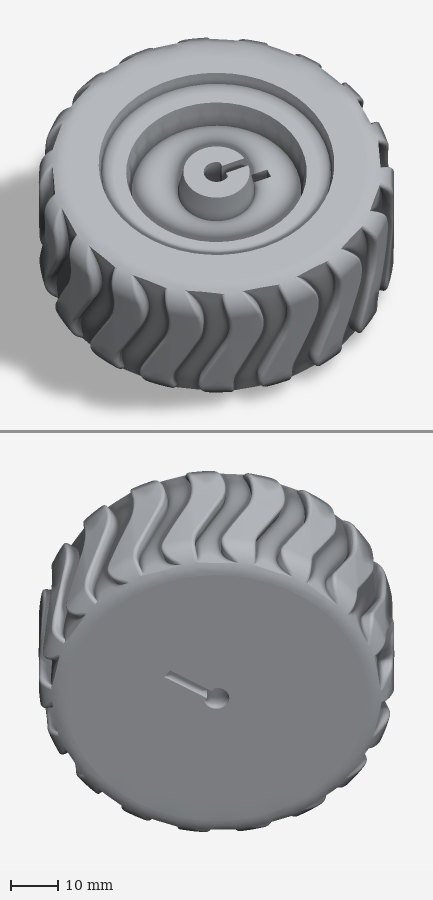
import cadquery as cq
import math

tyre_diameter = 75.6
tyre_width = 34.2
shoulder_radius = 5.7

draft_angle = 10.5
rim_diameter = 50.1
rim_floor_diameter = 48.7
rim_depth = 2.8
dish_diameter = 38.4
dish_floor_depth = 9.15
boss_base_diameter = 16.5
boss_top_depth = 2.7

bore_diameter = 5.45
bore_flat_distance = 1.75
slot_width = 2.1
slot_reach = 12.25

groove_count = 18
groove_floor_distance = 34.8
groove_width = 5.5
upper_centre = (-10.4, 7.6)
upper_inner_radius = 11.5
lower_centre = (4.5, -11.65)
lower_inner_radius = 4.45
lower_inner_arc_end = 240.0
lug_edge_radius = 0.7
cut_clearance = 0.75

tyre_radius = tyre_diameter / 2
half_width = tyre_width / 2
upper_outer_radius = upper_inner_radius + groove_width
lower_outer_radius = lower_inner_radius + groove_width
draft_slope = math.tan(math.radians(draft_angle))


def on_circle(centre, radius, angle):
    """Point of a circle at an angle in radians."""
    return (centre[0] + radius * math.cos(angle), centre[1] + radius * math.sin(angle))


def make_dished_wheel():
    """Revolved wheel body with the stepped dish and the tapered boss."""
    rim_floor = half_width - rim_depth
    dish_floor = half_width - dish_floor_depth
    boss_top = half_width - boss_top_depth
    rim_radius = rim_diameter / 2
    dish_radius = dish_diameter / 2
    boss_radius = boss_base_diameter / 2
    profile = (
        cq.Workplane("XZ")
        .moveTo(0, -half_width)
        .lineTo(tyre_radius - shoulder_radius, -half_width)
        .radiusArc((tyre_radius, -half_width + shoulder_radius), -shoulder_radius)
        .lineTo(tyre_radius, half_width - shoulder_radius)
        .radiusArc((tyre_radius - shoulder_radius, half_width), -shoulder_radius)
        .lineTo(rim_radius, half_width)
        .lineTo(rim_floor_diameter / 2, rim_floor)
        .lineTo(dish_radius, rim_floor)
        .lineTo(dish_radius - (rim_floor - dish_floor) * draft_slope, dish_floor)
        .lineTo(boss_radius, dish_floor)
        .lineTo(boss_radius - (boss_top - dish_floor) * draft_slope, boss_top)
        .lineTo(0, boss_top)
        .close()
    )
    return profile.revolve(360, (0, 0, 0), (0, 1, 0))


def make_axle_cut():
    """D-shaped bore and key slot, both passing through the hub."""
    bore = cq.Workplane("XY").circle(bore_diameter / 2).extrude(half_width, both=True)
    below_flat = (
        cq.Workplane("XY")
        .center(0, bore_flat_distance - bore_diameter / 2)
        .rect(bore_diameter, bore_diameter)
        .extrude(half_width, both=True)
    )
    slot = (
        cq.Workplane("XY")
        .center(0, slot_reach / 2)
        .rect(slot_width, slot_reach)
        .extrude(half_width, both=True)
    )
    return bore.intersect(below_flat).union(slot)


def make_groove_cut():
    """Cutter for the -Y side: two concentric arc pairs joined by their common tangents."""
    across = lower_centre[0] - upper_centre[0]
    rise = lower_centre[1] - upper_centre[1]
    tangent_distance = upper_inner_radius + groove_width + lower_inner_radius
    tangent_angle = math.atan2(rise, across) + math.acos(tangent_distance / math.hypot(across, rise))
    opposite_angle = tangent_angle + math.pi

    end = half_width + cut_clearance
    inner_top_angle = math.asin((end - upper_centre[1]) / upper_inner_radius)
    outer_top_angle = math.asin((end - upper_centre[1]) / upper_outer_radius)
    outer_bottom_angle = math.pi + math.asin((end + lower_centre[1]) / lower_outer_radius)
    inner_bottom_angle = math.radians(lower_inner_arc_end)
    runout_start = on_circle(lower_centre, lower_inner_radius, inner_bottom_angle)
    runout_across = (end + runout_start[1]) * math.tan(inner_bottom_angle)

    profile = (
        cq.Workplane("XZ", origin=(0, -groove_floor_distance, 0))
        .moveTo(*on_circle(upper_centre, upper_inner_radius, inner_top_angle))
        .threePointArc(
            on_circle(upper_centre, upper_inner_radius, (inner_top_angle + tangent_angle) / 2),
            on_circle(upper_centre, upper_inner_radius, tangent_angle),
        )
        .lineTo(*on_circle(lower_centre, lower_outer_radius, opposite_angle))
        .threePointArc(
            on_circle(lower_centre, lower_outer_radius, (opposite_angle + outer_bottom_angle) / 2),
            on_circle(lower_centre, lower_outer_radius, outer_bottom_angle),
        )
        .lineTo(runout_start[0] + runout_across, -end)
        .lineTo(*runout_start)
        .threePointArc(
            on_circle(lower_centre, lower_inner_radius, (opposite_angle + inner_bottom_angle) / 2),
            on_circle(lower_centre, lower_inner_radius, opposite_angle),
        )
        .lineTo(*on_circle(upper_centre, upper_outer_radius, tangent_angle))
        .threePointArc(
            on_circle(upper_centre, upper_outer_radius, (outer_top_angle + tangent_angle) / 2),
            on_circle(upper_centre, upper_outer_radius, outer_top_angle),
        )
        .close()
    )
    return profile.extrude(tyre_radius - groove_floor_distance + cut_clearance)


def round_lug_edges(body):
    """Fillet the curved edges between the groove walls and the outer tread surface."""
    lowest_lug_edge = groove_floor_distance + lug_edge_radius / 2
    curved_edges = body.edges("%BSPLINE or %ELLIPSE").vals()
    lug_edges = [
        edge
        for edge in curved_edges
        if math.hypot(edge.Center().x, edge.Center().y) > lowest_lug_edge
    ]
    return body.newObject(lug_edges).fillet(lug_edge_radius)


wheel = make_dished_wheel().cut(make_axle_cut())
groove = make_groove_cut()
for index in range(groove_count):
    wheel = wheel.cut(groove.rotate((0, 0, 0), (0, 0, 1), index * 360 / groove_count))

result = round_lug_edges(wheel)